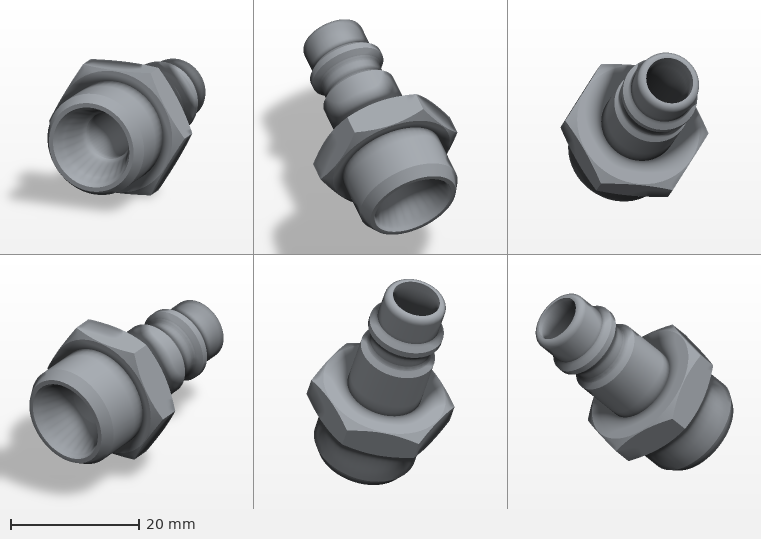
import cadquery as cq
import math

length = 34.0
hex_width = 20.0
hex_start = 9.0
hex_end = 14.0
hex_bevel_radius = 9.85
hex_bevel_angle = 30.0

stub_radius = 8.23
stub_tip_radius = 7.2
stub_chamfer_length = 1.77

shank_radius = 6.0
shank_end = 22.45
nose_radius = 4.95
nose_fillet = 1.0

collar_start = 26.93
collar_end = 27.95

groove_radius = 4.9
groove_fillet = 1.0
groove_flank = shank_radius - groove_radius
groove_start = shank_end + groove_flank
groove_end = collar_start - groove_flank
collar_taper_end = collar_end + shank_radius - nose_radius

bore_radius = 3.77
mouth_radius = 6.5
mouth_depth = 6.7

pick_margin = 0.17


def revolve_about_y(profile):
    return profile.close().revolve(360, (0, 0, 0), (0, 1, 0))


def make_turned_body():
    profile = (
        cq.Workplane("XY")
        .moveTo(0, 0)
        .lineTo(stub_tip_radius, 0)
        .lineTo(stub_radius, stub_chamfer_length)
        .lineTo(stub_radius, hex_start)
        .lineTo(shank_radius, hex_start)
        .lineTo(shank_radius, shank_end)
        .lineTo(groove_radius, groove_start)
        .lineTo(groove_radius, groove_end)
        .lineTo(shank_radius, collar_start)
        .lineTo(shank_radius, collar_end)
        .lineTo(nose_radius, collar_taper_end)
        .lineTo(nose_radius, length)
        .lineTo(0, length)
    )
    body = revolve_about_y(profile).faces(">Y").edges().fillet(nose_fillet)
    groove_corners = cq.selectors.BoxSelector(
        (-shank_radius, groove_start - pick_margin, -shank_radius),
        (shank_radius, groove_end + pick_margin, shank_radius),
    )
    return body.edges(groove_corners).fillet(groove_fillet)


def make_hex():
    """Hexagon with corners on X, its corners bevelled by cones at both ends."""
    corner_radius = hex_width / math.sqrt(3)
    bevel_length = (corner_radius - hex_bevel_radius) * math.tan(math.radians(hex_bevel_angle))
    prism = (
        cq.Workplane("XZ", origin=(0, hex_start, 0))
        .polygon(6, 2 * corner_radius)
        .extrude(hex_start - hex_end)
    )
    envelope = (
        cq.Workplane("XY")
        .moveTo(0, hex_start)
        .lineTo(hex_bevel_radius, hex_start)
        .lineTo(corner_radius, hex_start + bevel_length)
        .lineTo(corner_radius, hex_end - bevel_length)
        .lineTo(hex_bevel_radius, hex_end)
        .lineTo(0, hex_end)
    )
    return prism.intersect(revolve_about_y(envelope))


def make_bore():
    """Straight through bore opening into a conical mouth at the stub."""
    profile = (
        cq.Workplane("XY")
        .lineTo(mouth_radius, 0)
        .lineTo(bore_radius, mouth_depth)
        .lineTo(bore_radius, length)
        .lineTo(0, length)
    )
    return revolve_about_y(profile)


result = make_turned_body().union(make_hex()).cut(make_bore())